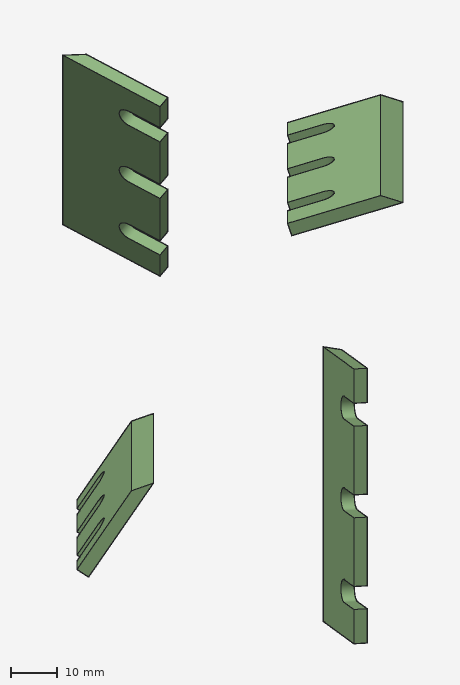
import cadquery as cq

length = 60.0
width = 25.0
thickness = 3.0
bevel_run = 4.1

slot_width = 5.0
slot_depth = 10.5
slot_pitch = length / 3
slot_count = 3


def make_blade():
    """Plate with one long side bevelled to a sharp edge on the -Y face."""
    return (
        cq.Workplane("XY")
        .moveTo(0, 0)
        .lineTo(width, 0)
        .lineTo(width, thickness)
        .lineTo(bevel_run, thickness)
        .close()
        .extrude(length)
    )


def make_slot(center_z):
    """Through slot, open at the back edge, with a full-round inner end."""
    radius = slot_width / 2
    end_x = width - slot_depth
    return (
        cq.Workplane("XZ")
        .moveTo(width, center_z - radius)
        .lineTo(end_x + radius, center_z - radius)
        .threePointArc((end_x, center_z), (end_x + radius, center_z + radius))
        .lineTo(width, center_z + radius)
        .close()
        .extrude(-thickness)
    )


result = make_blade()
for index in range(slot_count):
    offset = (index - (slot_count - 1) / 2) * slot_pitch
    result = result.cut(make_slot(length / 2 + offset))